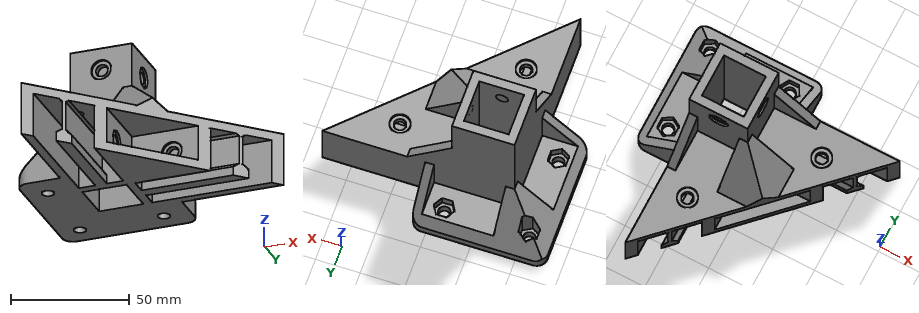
import cadquery as cq

bar = 20.0
wall = 4.0
socket = bar + 2 * wall
socket_middle = socket / 2
upright_height = 64.0
arm_height = bar + wall
arm_length = 86.0

gusset_run = 20.0
gusset_top = arm_height + gusset_run

flange_reach = 20.0
flange_size = 60.0
flange_far = flange_size - flange_reach
flange_edge = 4.0
flange_corner_radius = 5.0
flange_pocket_floor = 8.0
flange_pocket_reach = flange_reach - wall
flange_pocket_length = flange_far - 2 * wall

rib_thickness = 1.2
rib_head_flare = 1.0
rib_foot_width = 5.2
rib_foot_height = wall

window_height = arm_height - 2 * wall

bolt_diameter = 5.4
bolt_head_diameter = 9.0
bolt_head_depth = 1.0
bolt_hole_skin = 0.4
bar_bolt_from_upright_top = 10.0
arm_top_bolt_at = 2 * socket
arm_side_bolt_at = 46.0
nut_across_corners = 9.4
nut_floor = 4.0
flange_hole_near = 10.0
flange_hole_far = 28.0

X_AXIS = cq.Vector(1, 0, 0)
Y_AXIS = cq.Vector(0, 1, 0)
Z_AXIS = cq.Vector(0, 0, 1)


def block(x_range, y_range, z_range):
    """Box spanning the given lower and upper limits."""
    size = [high - low for low, high in (x_range, y_range, z_range)]
    corner = (x_range[0], y_range[0], z_range[0])
    return cq.Workplane("XY").box(*size, centered=False).translate(corner)


def arm_mirrored(shape):
    """Copy of a shape from the X arm, carried over to the Y arm."""
    return shape.rotate((0, 0, 0), (1, -1, 0), 180).mirror("XY")


def both_arms(shape):
    """A shape of the X arm together with its twin of the Y arm."""
    return shape.union(arm_mirrored(shape))


def arm_triangle(height):
    """Right triangle covering both arms, cut off along the slanting front."""
    outline = cq.Workplane("XY").polyline([(0, 0), (arm_length, 0), (0, -arm_length)])
    return outline.close().extrude(height)


def gussets():
    """Outer and inner gussets, the inner pair meeting in a hip."""
    slope_end = socket + gusset_run
    slope = [(0, 0), (0, gusset_top), (socket, gusset_top), (slope_end, arm_height), (slope_end, 0)]
    x_slope = cq.Workplane("XZ").polyline(slope).close().extrude(arm_length)
    outer = x_slope.intersect(block((0, arm_length), (-wall, 0), (0, gusset_top)))
    inner_start = socket - wall
    inner_corner = block((inner_start, arm_length), (-arm_length, -inner_start), (0, gusset_top))
    inner = x_slope.intersect(arm_mirrored(x_slope)).intersect(inner_corner)
    return both_arms(outer).union(inner).intersect(arm_triangle(gusset_top))


def flange():
    """Rounded plate whose top slopes up to the upright on two sides."""
    plate = block((-flange_reach, flange_far), (-flange_far, flange_reach), (0, arm_height))
    plate = plate.edges("|Z").fillet(flange_corner_radius)
    slope = [
        (flange_far, 0),
        (flange_far, arm_height),
        (0, arm_height),
        (-flange_reach, flange_edge),
        (-flange_reach, 0),
    ]
    x_slope = cq.Workplane("XZ").polyline(slope).close().extrude(flange_size, both=True)
    plate = plate.intersect(x_slope).intersect(arm_mirrored(x_slope))
    pocket = block(
        (wall, wall + flange_pocket_length), (0, flange_pocket_reach), (flange_pocket_floor, arm_height)
    )
    return plate.cut(both_arms(pocket))


def arm_channel():
    """Bar channel of the X arm, open below, with the support rib left standing."""
    channel = block((socket, arm_length), (-wall - bar, -wall), (0, bar))
    half_rib = rib_thickness / 2
    half_head = half_rib + rib_head_flare
    half_foot = rib_foot_width / 2
    rib_bottom = rib_foot_height + half_foot - half_rib
    half_outline = [
        (half_foot, 0),
        (half_foot, rib_foot_height),
        (half_rib, rib_bottom),
        (half_rib, bar - rib_head_flare),
        (half_head, bar),
    ]
    outline = half_outline + [(-y, z) for y, z in reversed(half_outline)]
    rib = cq.Workplane("YZ").polyline(outline).close().extrude(arm_length)
    return channel.cut(rib.translate((0, -socket_middle, 0)))


def window():
    """Hollow between the arms, open at the slanting front."""
    return block((socket, arm_length), (-arm_length, -socket), (wall, wall + window_height))


def bolt_hole(start, direction):
    """Counterbored hole into one socket wall, closed at its end by a thin skin."""
    hole = cq.Solid.makeCylinder(bolt_diameter / 2, wall - bolt_hole_skin, start, direction)
    head = cq.Solid.makeCylinder(bolt_head_diameter / 2, bolt_head_depth, start, direction)
    return cq.Workplane(hole).union(cq.Workplane(head))


def bar_bolt_holes():
    """Bolt holes of the X arm and of the upright face above it."""
    upright_bolt_height = upright_height - bar_bolt_from_upright_top
    holes = bolt_hole(cq.Vector(socket, -socket_middle, upright_bolt_height), -X_AXIS)
    holes = holes.union(bolt_hole(cq.Vector(arm_top_bolt_at, -socket_middle, arm_height), -Z_AXIS))
    return holes.union(bolt_hole(cq.Vector(arm_side_bolt_at, -socket, bar / 2), Y_AXIS))


def flange_hole(x, y, nut_turn):
    """Vertical bolt hole with a hexagonal nut recess above it."""
    hole = cq.Workplane("XY").circle(bolt_diameter / 2).extrude(arm_height)
    nut = cq.Workplane("XY").polygon(6, nut_across_corners).extrude(arm_height)
    nut = nut.rotate((0, 0, 0), (0, 0, 1), nut_turn).translate((0, 0, nut_floor))
    return hole.union(nut).translate((x, y, 0))


def flange_holes():
    """Three flange holes: at the outer corner and towards the two far ends."""
    holes = flange_hole(-flange_hole_near, flange_hole_near, 90)
    holes = holes.union(flange_hole(-flange_hole_near, -flange_hole_far, 90))
    return holes.union(flange_hole(flange_hole_far, flange_hole_near, 0))


arms = arm_triangle(arm_height)
upright = block((0, socket), (-socket, 0), (0, upright_height))
body = arms.union(upright).union(gussets()).union(flange().cut(arms))

upright_bore = block((wall, wall + bar), (-wall - bar, -wall), (0, upright_height))
body = body.cut(upright_bore).cut(both_arms(arm_channel())).cut(window())
result = body.cut(both_arms(bar_bolt_holes())).cut(flange_holes())